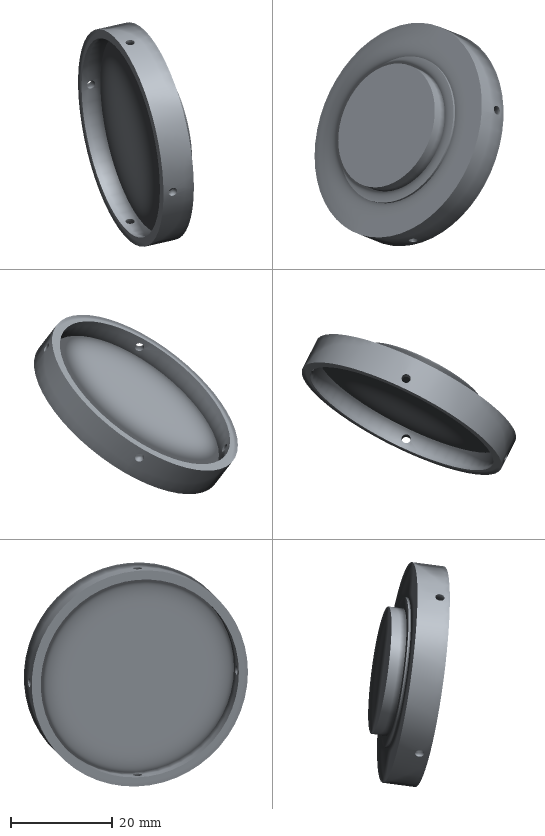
import cadquery as cq

rim_diameter = 44.0
rim_length = 6.5
shoulder_diameter = 30.0
shoulder_length = 0.5
spigot_diameter = 25.4
spigot_length = 3.0

recess_diameter = 40.3
recess_depth = 4.0

hole_diameter = 1.8
hole_setback = 2.0


def disc(diameter, start, length):
    """Solid disc about the Y axis, from Y = start to Y = start + length."""
    axis_plane = cq.Workplane("XZ", origin=(0, start, 0))
    return axis_plane.circle(diameter / 2).extrude(-length)


def cross_hole(plane_name):
    """Bar across the whole rim, along the normal of the named plane."""
    plane = cq.Workplane(plane_name, origin=(0, hole_setback, 0))
    return plane.circle(hole_diameter / 2).extrude(rim_diameter, both=True)


def cap_body():
    """Rim, shoulder and spigot stacked along +Y."""
    shoulder_start = rim_length
    spigot_start = shoulder_start + shoulder_length
    rim = disc(rim_diameter, 0, rim_length)
    shoulder = disc(shoulder_diameter, shoulder_start, shoulder_length)
    spigot = disc(spigot_diameter, spigot_start, spigot_length)
    return rim.union(shoulder).union(spigot)


result = cap_body().cut(disc(recess_diameter, 0, recess_depth))
for plane_name in ("XY", "YZ"):
    result = result.cut(cross_hole(plane_name))